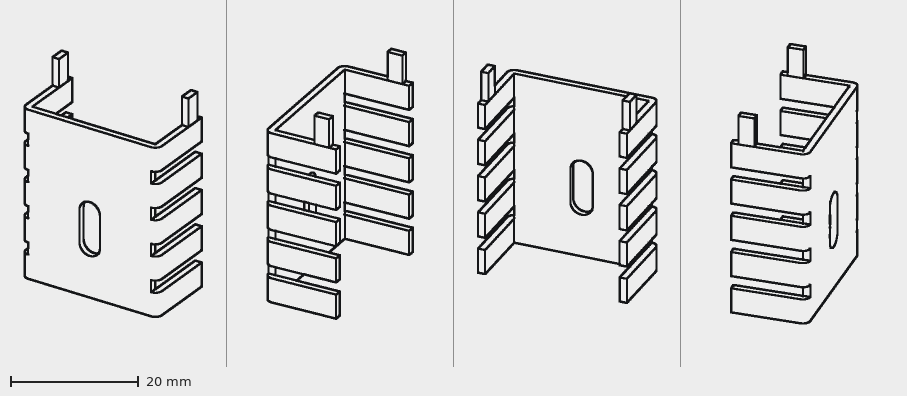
import cadquery as cq

WIDTH = 25.4
DEPTH = 12.7
CHANNEL_HEIGHT = 30.0
SHEET = 1.23
BEND_RADIUS = SHEET

FIN_COUNT = 5
FIN_TO_GAP = 2
GAP_HEIGHT = CHANNEL_HEIGHT / (FIN_COUNT * FIN_TO_GAP + FIN_COUNT - 1)
FIN_HEIGHT = FIN_TO_GAP * GAP_HEIGHT
FIN_PITCH = FIN_HEIGHT + GAP_HEIGHT

SLOT_WIDTH = 3.82
SLOT_LENGTH = 9.55
SLOT_CENTER_Z = 12.15

TOTAL_HEIGHT = 35.05
PIN_HEIGHT = TOTAL_HEIGHT - CHANNEL_HEIGHT
PIN_DEPTH = 2.63
PIN_SETBACK = 1.23


def make_channel():
    """U-shaped sheet with its plate on Y = 0, centred on X, standing on Z = 0."""
    outer = (
        cq.Workplane("XY")
        .box(WIDTH, DEPTH, CHANNEL_HEIGHT, centered=(True, False, False))
        .edges("|Z and <Y")
        .fillet(BEND_RADIUS)
    )
    inside = (
        cq.Workplane("XY")
        .box(WIDTH - 2 * SHEET, DEPTH - SHEET, CHANNEL_HEIGHT, centered=(True, False, False))
        .translate((0, SHEET, 0))
    )
    return outer.cut(inside)


def cut_fin_gaps(channel):
    """Remove the side walls and bends between fins, leaving the flat plate whole."""
    for index in range(FIN_COUNT - 1):
        gap_bottom = index * FIN_PITCH + FIN_HEIGHT
        for side in (-1, 1):
            gap = (
                cq.Workplane("XY")
                .box(SHEET, DEPTH, GAP_HEIGHT, centered=(True, False, False))
                .translate((side * (WIDTH - SHEET) / 2, 0, gap_bottom))
            )
            channel = channel.cut(gap)
    return channel


def cut_mounting_slot(channel):
    slot = (
        cq.Workplane("XZ")
        .center(0, SLOT_CENTER_Z)
        .slot2D(SLOT_LENGTH, SLOT_WIDTH, 90)
        .extrude(-SHEET)
    )
    return channel.cut(slot)


def make_pin(side):
    """Rectangular pin resting on the top fin of one side wall."""
    return (
        cq.Workplane("XY")
        .box(SHEET, PIN_DEPTH, PIN_HEIGHT, centered=(True, False, False))
        .translate((side * (WIDTH - SHEET) / 2, DEPTH - PIN_SETBACK - PIN_DEPTH, CHANNEL_HEIGHT))
    )


heat_sink = cut_mounting_slot(cut_fin_gaps(make_channel()))
pins = [make_pin(side) for side in (-1, 1)]

result = cq.Compound.makeCompound([heat_sink.solids().val(), *[pin.val() for pin in pins]])